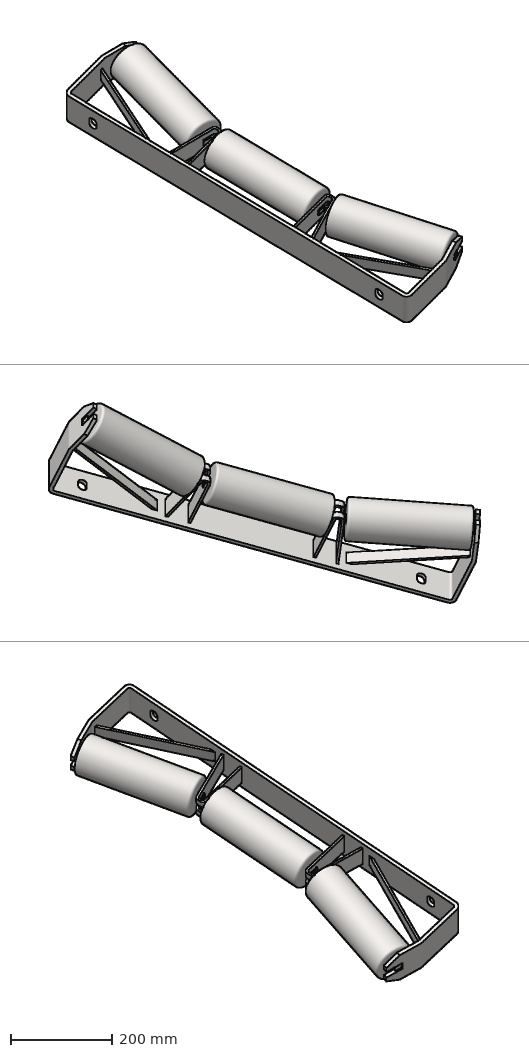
import cadquery as cq
import math


frame_length = 860.0
frame_width = 80.0
frame_thickness = 9.0
frame_bend_radius = 5.0
arm_bend_y = 123.0
arm_tip_y = 204.0
arm_chamfer_across = 18.0
arm_chamfer_along = 32.0

mount_spacing = 715.5
mount_slot_length = 28.0
mount_slot_width = 18.0

trough_angle = 15.0
roller_diameter = 89.0
roller_length = 250.0
roller_edge_radius = 5.0
roller_gap = 4.7
axle_diameter = 20.0
axle_flat_width = 13.0
axle_flat_height = 18.0
axle_reach = 7.0
axle_slot_width = 18.0
axle_slot_corner_radius = 3.0
axle_slot_height = 52.0
middle_roller_y = 101.05
side_roller_y = 138.5

bracket_thickness = 5.0
bracket_bend_radius = 3.5
bracket_width = 50.0
bracket_top_y = 126.85
bracket_slot_depth = 12.0

brace_thickness = 5.0
brace_width = 30.0
brace_top_y = 113.5
brace_foot_x = 199.5

half_length = frame_length / 2
tilt = math.radians(trough_angle)
leg_distance = roller_length / 2 + roller_gap
axle_end = leg_distance + axle_reach

arm_distance = leg_distance + frame_thickness
side_roller_x = half_length - arm_distance / math.cos(tilt) - (side_roller_y - arm_bend_y) * math.tan(tilt)


def bent_bar(outer_path, thickness, width, inner_radius):
    """Bar whose outer face follows outer_path, with the material to the left of the path."""
    points = [cq.Vector(x, y, 0) for x, y in outer_path]
    normals = []
    for start, end in zip(points, points[1:]):
        along = (end - start).normalized()
        normals.append(cq.Vector(-along.y, along.x, 0))
    inner = [points[0] + normals[0] * thickness]
    for point, before, after in zip(points[1:], normals, normals[1:]):
        inner.append(point + (before + after) * (thickness / (1 + before.dot(after))))
    inner.append(points[-1] + normals[-1] * thickness)

    outline = [(p.x, p.y) for p in points + inner[::-1]]
    bar = cq.Workplane("XY").polyline(outline).close().extrude(width / 2, both=True)
    for corners, radius in ((points, inner_radius + thickness), (inner, inner_radius)):
        for corner in corners[1:-1]:
            nearest = cq.NearestToPointSelector((corner.x, corner.y, 0))
            bar = bar.edges("|Z").edges(nearest).fillet(radius)
    return bar


def place_on_left(body):
    """Move a body built around a roller centre at the origin to the left side roller."""
    turned = body.rotate((0, 0, 0), (0, 0, 1), -trough_angle)
    return turned.translate((-side_roller_x, side_roller_y, 0))


def place_in_middle(body):
    """Move a body built around a roller centre at the origin to the middle roller."""
    return body.translate((0, middle_roller_y, 0))


def mirrored(body):
    return body.mirror("YZ")


def axle_slot(start, end):
    """Cutter along X from start to end for a slot that holds an axle end and is open towards +Y."""
    slot = (
        cq.Workplane("XY")
        .box(end - start, axle_slot_height, axle_slot_width, centered=(False, False, True))
        .edges("|X and <Y")
        .fillet(axle_slot_corner_radius)
    )
    return slot.translate((start, -axle_flat_height / 2, 0))


def make_frame():
    arm_tip_x = half_length - (arm_tip_y - arm_bend_y) * math.tan(tilt)
    frame = bent_bar(
        [
            (-arm_tip_x, arm_tip_y),
            (-half_length, arm_bend_y),
            (-half_length, 0),
            (half_length, 0),
            (half_length, arm_bend_y),
            (arm_tip_x, arm_tip_y),
        ],
        frame_thickness,
        frame_width,
        frame_bend_radius,
    )

    cutter_start = -arm_distance - frame_thickness
    cutter_end = -leg_distance + frame_thickness
    half_width = frame_width / 2
    tip_distance = (arm_tip_y - side_roller_y) * math.cos(tilt) - (arm_tip_x - side_roller_x) * math.sin(tilt)
    corner = (
        cq.Workplane("YZ", origin=(cutter_start, 0, 0))
        .polyline([
            (tip_distance, half_width),
            (tip_distance - arm_chamfer_along, half_width),
            (tip_distance, half_width - arm_chamfer_across),
        ])
        .close()
        .extrude(cutter_end - cutter_start)
    )
    for cutter in (corner, corner.mirror("XY"), axle_slot(cutter_start, cutter_end)):
        placed = place_on_left(cutter)
        frame = frame.cut(placed).cut(mirrored(placed))

    mounts = (
        cq.Workplane("XZ")
        .pushPoints([(-mount_spacing / 2, 0), (mount_spacing / 2, 0)])
        .slot2D(mount_slot_length, mount_slot_width, 90)
        .extrude(-frame_thickness)
    )
    return frame.cut(mounts)


def make_left_bracket():
    face_x = -side_roller_x + leg_distance * math.cos(tilt)
    face_y = side_roller_y - leg_distance * math.sin(tilt)
    top_x = face_x + (bracket_top_y - face_y) * math.tan(tilt)
    foot_x = face_x - face_y * math.tan(tilt)
    bracket = bent_bar(
        [(-leg_distance, 0), (-leg_distance, bracket_top_y), (top_x, bracket_top_y), (foot_x, 0)],
        bracket_thickness,
        bracket_width,
        bracket_bend_radius,
    )

    base_region = cq.Workplane("XY").rect(frame_length, 2 * frame_thickness).extrude(frame_width, both=True)
    bracket = bracket.cut(base_region)

    middle_slot = axle_slot(-leg_distance - bracket_slot_depth, -leg_distance)
    side_slot = axle_slot(leg_distance, leg_distance + bracket_slot_depth)
    return bracket.cut(place_in_middle(middle_slot)).cut(place_on_left(side_slot))


def make_left_brace():
    arm_inner_x = half_length - frame_thickness
    slope = math.atan2(brace_top_y - frame_thickness, arm_inner_x - brace_foot_x)
    return (
        cq.Workplane("XY")
        .polyline([
            (-arm_inner_x, brace_top_y),
            (-arm_inner_x, brace_top_y - brace_thickness / math.cos(slope)),
            (-brace_foot_x - brace_thickness / math.sin(slope), frame_thickness),
            (-brace_foot_x, frame_thickness),
        ])
        .close()
        .extrude(brace_width / 2, both=True)
    )


def rod(diameter, half_span):
    """Cylinder along X, centred on the origin."""
    return cq.Workplane("YZ", origin=(-half_span, 0, 0)).circle(diameter / 2).extrude(2 * half_span)


def make_roller():
    """Roller with its axle along X, centred on the origin, with four flats on each axle end."""
    drum = rod(roller_diameter, roller_length / 2).edges().fillet(roller_edge_radius)
    neck = rod(axle_diameter, leg_distance - roller_gap / 2)
    flats = cq.Workplane("XY").box(2 * axle_end, axle_flat_height, axle_flat_width)
    ends = rod(axle_diameter, axle_end).intersect(flats)
    return drum.union(neck).union(ends)


frame = make_frame()
left_bracket = make_left_bracket()
left_brace = make_left_brace()
roller = make_roller()
left_roller = place_on_left(roller)
brackets = [left_bracket, mirrored(left_bracket)]
braces = [left_brace, mirrored(left_brace)]
rollers = [left_roller, place_in_middle(roller), mirrored(left_roller)]

result = cq.Compound.makeCompound([body.val() for body in [frame, *brackets, *braces, *rollers]])